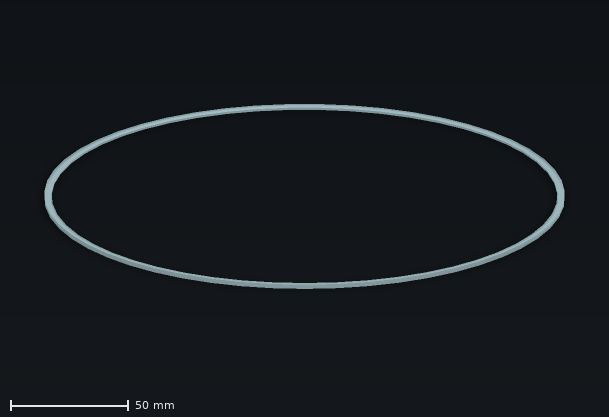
import cadquery as cq

outer_diameter = 222.0
inner_diameter = 215.9
height = 1.9

bevel_outer_diameter = 217.9
bevel_slope = 0.5

outer_radius = outer_diameter / 2
inner_radius = inner_diameter / 2
bevel_outer_radius = bevel_outer_diameter / 2
bevel_depth = (bevel_outer_radius - inner_radius) * bevel_slope

section = (
    cq.Workplane("XZ")
    .moveTo(inner_radius, bevel_depth)
    .lineTo(bevel_outer_radius, 0)
    .lineTo(outer_radius, 0)
    .lineTo(outer_radius, height)
    .lineTo(bevel_outer_radius, height)
    .lineTo(inner_radius, height - bevel_depth)
    .close()
)

result = section.revolve(360, (0, 0), (0, 1))